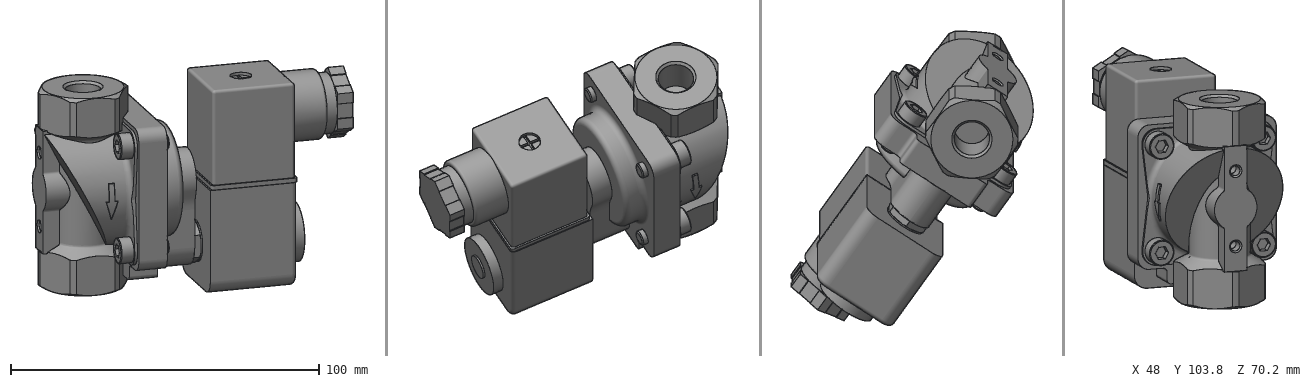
import cadquery as cq
import math


PORT_FLATS = 27.0
PORT_CORNER_DIAMETER = 30.0
PORT_FACE_DIAMETER = 26.6
PORT_END_Z = 33.5
PORT_INNER_Z = 21.0
PORT_CHAMFER_SLOPE = math.tan(math.radians(30))
PORT_BORE = 11.45
PORT_BORE_DEPTH = 12.0
PORT_BORE_CHAMFER = 0.8

CHAMBER_DIAMETER = 40.0
CHAMBER_FILLET = 1.9
TUBE_DIAMETER = 20.0
TUBE_FILLET = 1.0
SLANT_HIGH = (-14.7, 20.2)
SLANT_LOW = (5.3, -18.7)
BAR_FRONT_Y = -14.9
BAR_WIDTH = 7.8
BAR_LENGTH = 41.6
BAR_HUB_DIAMETER = 14.7
BAR_HUB_FILLET = 1.0
BAR_HOLE_SPACING = 25.0
BAR_HOLE_DIAMETER = 3.24
BAR_HOLE_DEPTH = 4.0
BAR_HOLE_CHAMFER = 0.5
DRILL_POINT_ANGLE = 118.0

ARROW_Y = 3.4
ARROW_TAIL_Z = 5.9
ARROW_NECK_Z = 0.0
ARROW_TIP_Z = -6.3
ARROW_SHAFT_WIDTH = 1.9
ARROW_HEAD_WIDTH = 4.0
ARROW_RELIEF = 0.5

PAD_FRONT_Y = 10.35
FLANGE_FRONT_Y = 11.3
FLANGE_BACK_Y = 21.0
FLANGE_SIDE = 48.0
FLANGE_CORNER_RADIUS = 4.0
TAB_WIDTH = 27.8
TAB_BOTTOM_Z = -29.4
TAB_FILLET = 1.4
PAD_CORNER_RADIUS = 5.0
PAD_WAIST = 20.6
BOLT_CIRCLE_RADIUS = 25.0
SCREW_HEAD_DIAMETER = 8.5
SCREW_HEAD_HEIGHT = 4.4
SCREW_HEAD_CHAMFER = 0.3
SCREW_SOCKET_FLATS = 4.0
SCREW_SOCKET_DEPTH = 2.5
SCREW_TAIL_DIAMETER = 5.0
SCREW_TAIL_LENGTH = 2.05
SCREW_TAIL_CHAMFER = 0.4

BONNET_BACK_Y = 28.55
BONNET_DIAMETER = 38.0
BONNET_FILLET = 2.0
PILOT_BACK_Y = 35.7
PILOT_HEAD_RADIUS = 9.4
PILOT_FOOT_RADIUS = 7.5
PILOT_BLEND_RADIUS = 15.0
COIL_AXIS_Z = -22.3
TUBE_NUT_FLATS = 13.0
TUBE_NUT_BACK_Y = 38.1
TUBE_COLLAR_DIAMETER = 13.8

COIL_FRONT_Y = 38.6
COIL_BACK_Y = 68.1
COIL_WIDTH = 29.8
COIL_TOP_Z = -1.15
COIL_BOTTOM_Z = -36.7
COIL_CORNER_RADIUS = 4.5
COIL_BACK_FILLET = 1.5
KNOB_NECK_DIAMETER = 12.2
KNOB_NECK_LENGTH = 0.85
KNOB_DIAMETER = 20.0
KNOB_LENGTH = 3.5
STUD_DIAMETER = 8.0
STUD_LENGTH = 0.65

GASKET_TOP_Z = 0.3
GASKET_WIDTH = 29.2
PLUG_CENTER_Y = 53.85
PLUG_SIDE = 28.0
PLUG_TOP_Z = 32.2
PLUG_EDGE_RADIUS = 1.0
GLAND_AXIS_Z = 20.15
GLAND_DIAMETER = 23.1
GLAND_BACK_Y = 79.8
GLAND_EDGE = 0.9
GLAND_NECK_DIAMETER = 20.0
CAP_FRONT_Y = 83.5
CAP_BACK_Y = 88.8
CAP_LUG_RADIUS = 12.0
CAP_RECESS_RADIUS = 10.35
CAP_RECESS_ANGLE = 16.3
CAP_LUGS = 6
PLUG_SCREW_DIAMETER = 7.0
PLUG_SCREW_RECESS = 1.0
PLUG_SCREW_SLOT_WIDTH = 0.9
PLUG_SCREW_SLOT_DEPTH = 1.0


def plane_at_y(y, x=0, z=0):
    """Plane across the Y axis whose local axes are +X and +Z; its normal is -Y."""
    return cq.Workplane("XZ", origin=(x, y, z))


def disc(diameter, y_start, y_end, x=0, z=0):
    """Cylinder along Y."""
    return plane_at_y(y_start, x, z).circle(diameter / 2).extrude(y_start - y_end)


def hexagon_prism(flats, y_start, y_end, x=0, z=0, turn=0):
    """Hexagonal prism along Y, with corners on local X unless turned."""
    corner_diameter = flats / math.cos(math.radians(30))
    return (
        plane_at_y(y_start, x, z)
        .transformed(rotate=(0, 0, turn))
        .polygon(6, corner_diameter)
        .extrude(y_start - y_end)
    )


def screw_places():
    offset = BOLT_CIRCLE_RADIUS / math.sqrt(2)
    return [(sx * offset, sz * offset) for sx in (-1, 1) for sz in (-1, 1)]


def upper_pipe_end():
    """Hexagon turned at its corners, chamfered outside and coned down to the pipe tube inside."""
    corner_radius = PORT_CORNER_DIAMETER / 2
    face_radius = PORT_FACE_DIAMETER / 2
    tube_radius = TUBE_DIAMETER / 2
    chamfer_height = (corner_radius - face_radius) * PORT_CHAMFER_SLOPE
    cone_height = (corner_radius - tube_radius) * PORT_CHAMFER_SLOPE
    turned = (
        cq.Workplane("XZ")
        .moveTo(0, PORT_INNER_Z - cone_height)
        .lineTo(tube_radius, PORT_INNER_Z - cone_height)
        .lineTo(corner_radius, PORT_INNER_Z)
        .lineTo(corner_radius, PORT_END_Z - chamfer_height)
        .lineTo(face_radius, PORT_END_Z)
        .lineTo(0, PORT_END_Z)
        .close()
        .revolve(360, (0, 0, 0), (0, 1, 0))
    )
    hexagon = (
        cq.Workplane("XY")
        .transformed(rotate=(0, 0, 30))
        .polygon(6, PORT_FLATS / math.cos(math.radians(30)))
        .extrude(PORT_END_Z)
    )
    return turned.intersect(hexagon)


def upper_port_bore():
    bore_floor = PORT_END_Z - PORT_BORE_DEPTH
    return (
        cq.Workplane("XY", origin=(0, 0, bore_floor))
        .circle(PORT_BORE / 2)
        .extrude(PORT_BORE_DEPTH)
        .faces(">Z")
        .workplane()
        .circle(PORT_BORE / 2 + PORT_BORE_CHAMFER)
        .workplane(offset=-PORT_BORE_CHAMFER)
        .circle(PORT_BORE / 2)
        .loft(combine=True)
    )


def pipe_tube():
    """Tube between the pipe ends, with a fillet against each inner cone."""
    tube_radius = TUBE_DIAMETER / 2
    cone_start_z = PORT_INNER_Z - (PORT_CORNER_DIAMETER / 2 - tube_radius) * PORT_CHAMFER_SLOPE
    reach = TUBE_FILLET * math.tan(math.radians(30))
    cone_run = reach * math.cos(math.radians(30))
    cone_rise = reach * math.sin(math.radians(30))
    tube = cq.Workplane("XY").circle(tube_radius).extrude(cone_start_z, both=True)
    fillet_ring = (
        cq.Workplane("XZ")
        .moveTo(tube_radius - TUBE_FILLET, cone_start_z - reach)
        .lineTo(tube_radius, cone_start_z - reach)
        .radiusArc((tube_radius + cone_run, cone_start_z + cone_rise), TUBE_FILLET)
        .lineTo(tube_radius - TUBE_FILLET, cone_start_z + cone_rise)
        .close()
        .revolve(360, (0, 0, 0), (0, 1, 0))
    )
    return tube.union(fillet_ring).union(fillet_ring.mirror("XY"))


def flow_arrow(side):
    """Raised arrow on the -X (side = -1) or +X (side = 1) flank of the chamber."""
    shaft = ARROW_SHAFT_WIDTH / 2
    head = ARROW_HEAD_WIDTH / 2
    outline = [
        (ARROW_Y - shaft, ARROW_TAIL_Z),
        (ARROW_Y + shaft, ARROW_TAIL_Z),
        (ARROW_Y + shaft, ARROW_NECK_Z),
        (ARROW_Y + head, ARROW_NECK_Z),
        (ARROW_Y, ARROW_TIP_Z),
        (ARROW_Y - head, ARROW_NECK_Z),
        (ARROW_Y - shaft, ARROW_NECK_Z),
    ]
    reach = CHAMBER_DIAMETER / 2 + ARROW_RELIEF
    arrow = cq.Workplane("YZ").polyline(outline).close().extrude(side * reach)
    return arrow.intersect(disc(2 * reach, BAR_FRONT_Y, FLANGE_FRONT_Y))


def chamber():
    """Round chamber with raised flow arrows, cut off by a slanting plane."""
    radius = CHAMBER_DIAMETER / 2
    body = disc(CHAMBER_DIAMETER, BAR_FRONT_Y, FLANGE_FRONT_Y)
    (high_y, high_z) = SLANT_HIGH
    (low_y, low_z) = SLANT_LOW
    slope = (low_y - high_y) / (low_z - high_z)
    far = 2 * radius
    above_y = high_y + slope * (far - high_z)
    below_y = high_y + slope * (-far - high_z)
    outer_y = above_y - far
    waste = (
        cq.Workplane("YZ")
        .polyline([(above_y, far), (below_y, -far), (outer_y, -far), (outer_y, far)])
        .close()
        .extrude(far, both=True)
    )
    body = body.cut(waste)
    for side in (-1, 1):
        body = body.union(flow_arrow(side))
    return body


def pad_plate():
    """Thin plate under the screw heads, waisted at its sides, with the fillet of the chamber foot."""
    offset = BOLT_CIRCLE_RADIUS / math.sqrt(2)
    reach = offset + PAD_CORNER_RADIUS
    waist_to_screw = math.hypot(PAD_WAIST - offset, offset)
    side_angle = math.asin(PAD_CORNER_RADIUS / waist_to_screw) - math.atan((PAD_WAIST - offset) / offset)
    corner_x = PAD_WAIST + reach * math.tan(side_angle)
    outline = [
        (corner_x, reach),
        (PAD_WAIST, 0),
        (corner_x, -reach),
        (-corner_x, -reach),
        (-PAD_WAIST, 0),
        (-corner_x, reach),
    ]
    thickness = FLANGE_FRONT_Y - PAD_FRONT_Y
    footprint = (
        plane_at_y(FLANGE_FRONT_Y)
        .polyline(outline)
        .close()
        .extrude(thickness + CHAMBER_FILLET)
        .edges("|Y")
        .edges("<X or >X")
        .fillet(PAD_CORNER_RADIUS)
    )
    radius = CHAMBER_DIAMETER / 2
    plate_and_foot = (
        cq.Workplane("XY")
        .moveTo(0, FLANGE_FRONT_Y)
        .lineTo(2 * radius, FLANGE_FRONT_Y)
        .lineTo(2 * radius, PAD_FRONT_Y)
        .lineTo(radius + CHAMBER_FILLET, PAD_FRONT_Y)
        .radiusArc((radius, PAD_FRONT_Y - CHAMBER_FILLET), -CHAMBER_FILLET)
        .lineTo(0, PAD_FRONT_Y - CHAMBER_FILLET)
        .close()
        .revolve(360, (0, 0, 0), (0, 1, 0))
    )
    return footprint.intersect(plate_and_foot)


def mounting_bar():
    """Bar across the front with a round hub; both reach back into the pipe tube."""
    bar = plane_at_y(0).rect(BAR_WIDTH, BAR_LENGTH).extrude(-BAR_FRONT_Y)
    hub = disc(BAR_HUB_DIAMETER, 0, BAR_FRONT_Y)
    inner_corners = cq.selectors.BoxSelector(
        (-BAR_WIDTH, BAR_FRONT_Y, -BAR_HUB_DIAMETER / 2),
        (BAR_WIDTH, 0, BAR_HUB_DIAMETER / 2),
    )
    return bar.union(hub).edges("|Y").edges(inner_corners).fillet(BAR_HUB_FILLET)


def bar_hole(z):
    """Drilled and countersunk blind hole in the mounting bar."""
    radius = BAR_HOLE_DIAMETER / 2
    mouth = radius + BAR_HOLE_CHAMFER
    floor_y = BAR_FRONT_Y + BAR_HOLE_DEPTH
    point_y = floor_y + radius / math.tan(math.radians(DRILL_POINT_ANGLE / 2))
    return (
        cq.Workplane("XY", origin=(0, 0, z))
        .moveTo(0, BAR_FRONT_Y)
        .lineTo(mouth, BAR_FRONT_Y)
        .lineTo(radius, BAR_FRONT_Y + BAR_HOLE_CHAMFER)
        .lineTo(radius, floor_y)
        .lineTo(0, point_y)
        .close()
        .revolve(360, (0, 0, 0), (0, 1, 0))
    )


def flange():
    """Square flange with a tab below that carries the pilot block."""
    depth = FLANGE_BACK_Y - FLANGE_FRONT_Y
    square = (
        plane_at_y(FLANGE_BACK_Y)
        .rect(FLANGE_SIDE, FLANGE_SIDE)
        .extrude(depth)
        .edges("|Y")
        .fillet(FLANGE_CORNER_RADIUS)
    )
    tab_height = -TAB_BOTTOM_Z
    tab = plane_at_y(FLANGE_BACK_Y, z=-tab_height / 2).rect(TAB_WIDTH, tab_height).extrude(depth)
    tab = tab.edges("|Y and <Z").fillet(TAB_FILLET)
    inner_corners = cq.selectors.BoxSelector(
        (-TAB_WIDTH, FLANGE_FRONT_Y, -FLANGE_SIDE / 2 - TAB_FILLET / 2),
        (TAB_WIDTH, FLANGE_BACK_Y, -FLANGE_SIDE / 2 + TAB_FILLET / 2),
    )
    return square.union(tab).edges("|Y").edges(inner_corners).fillet(TAB_FILLET)


def screw(x, z):
    """Socket head screw whose tail stands out behind the flange."""
    head_front_y = PAD_FRONT_Y - SCREW_HEAD_HEIGHT
    tail_back_y = FLANGE_BACK_Y + SCREW_TAIL_LENGTH
    head = disc(SCREW_HEAD_DIAMETER, FLANGE_FRONT_Y, head_front_y, x, z)
    head = head.faces("<Y").chamfer(SCREW_HEAD_CHAMFER)
    socket_floor_y = head_front_y + SCREW_SOCKET_DEPTH
    head = head.cut(hexagon_prism(SCREW_SOCKET_FLATS, socket_floor_y, head_front_y, x, z))
    tail = disc(SCREW_TAIL_DIAMETER, FLANGE_FRONT_Y, tail_back_y, x, z)
    tail = tail.faces(">Y").chamfer(SCREW_TAIL_CHAMFER)
    return head.union(tail)


def bonnet():
    """Round cover with a rounded rim and a concave fillet onto the flange."""
    radius = BONNET_DIAMETER / 2
    fillet = BONNET_FILLET
    return (
        cq.Workplane("XY")
        .moveTo(0, FLANGE_BACK_Y)
        .lineTo(radius + fillet, FLANGE_BACK_Y)
        .radiusArc((radius, FLANGE_BACK_Y + fillet), fillet)
        .lineTo(radius, BONNET_BACK_Y - fillet)
        .radiusArc((radius - fillet, BONNET_BACK_Y), -fillet)
        .lineTo(0, BONNET_BACK_Y)
        .close()
        .revolve(360, (0, 0, 0), (0, 1, 0))
    )


def pilot_block():
    """Keyhole block: round head blended into a narrower foot with a rounded end."""
    blend_x = PILOT_FOOT_RADIUS + PILOT_BLEND_RADIUS
    blend_z = -math.sqrt((PILOT_HEAD_RADIUS + PILOT_BLEND_RADIUS) ** 2 - blend_x**2)
    share = PILOT_HEAD_RADIUS / (PILOT_HEAD_RADIUS + PILOT_BLEND_RADIUS)
    tangent_x = blend_x * share
    tangent_z = blend_z * share
    return (
        plane_at_y(PILOT_BACK_Y)
        .moveTo(tangent_x, tangent_z)
        .threePointArc((0, PILOT_HEAD_RADIUS), (-tangent_x, tangent_z))
        .radiusArc((-PILOT_FOOT_RADIUS, blend_z), PILOT_BLEND_RADIUS)
        .lineTo(-PILOT_FOOT_RADIUS, COIL_AXIS_Z)
        .threePointArc((0, COIL_AXIS_Z - PILOT_FOOT_RADIUS), (PILOT_FOOT_RADIUS, COIL_AXIS_Z))
        .lineTo(PILOT_FOOT_RADIUS, blend_z)
        .radiusArc((tangent_x, tangent_z), PILOT_BLEND_RADIUS)
        .close()
        .extrude(PILOT_BACK_Y - FLANGE_BACK_Y)
    )


def armature_tube_nut():
    """Hexagon nut with turned corners at its coil end, and a thin collar against the coil."""
    blank_diameter = TUBE_NUT_FLATS / math.cos(math.radians(30))
    chamfer_width = (blank_diameter - TUBE_COLLAR_DIAMETER) / 2
    chamfer_depth = chamfer_width * math.tan(math.radians(30))
    hexagon = hexagon_prism(TUBE_NUT_FLATS, PILOT_BACK_Y, TUBE_NUT_BACK_Y, z=COIL_AXIS_Z, turn=30)
    turned_blank = (
        cq.Workplane("XY")
        .moveTo(0, PILOT_BACK_Y)
        .lineTo(blank_diameter / 2, PILOT_BACK_Y)
        .lineTo(blank_diameter / 2, TUBE_NUT_BACK_Y - chamfer_depth)
        .lineTo(TUBE_COLLAR_DIAMETER / 2, TUBE_NUT_BACK_Y)
        .lineTo(0, TUBE_NUT_BACK_Y)
        .close()
        .revolve(360, (0, 0, 0), (0, 1, 0))
        .translate((0, 0, COIL_AXIS_Z))
    )
    collar = disc(TUBE_COLLAR_DIAMETER, TUBE_NUT_BACK_Y, COIL_FRONT_Y, z=COIL_AXIS_Z)
    return hexagon.intersect(turned_blank).union(collar)


def valve_body():
    pipe_end = upper_pipe_end()
    body = chamber().union(pipe_tube()).union(pad_plate()).union(flange())
    body = body.union(mounting_bar()).union(pipe_end).union(pipe_end.mirror("XY"))
    body = body.union(bonnet()).union(pilot_block())
    body = body.union(armature_tube_nut())
    for x, z in screw_places():
        body = body.union(screw(x, z))
    bore = upper_port_bore()
    body = body.cut(bore).cut(bore.mirror("XY"))
    for z in (-BAR_HOLE_SPACING / 2, BAR_HOLE_SPACING / 2):
        body = body.cut(bar_hole(z))
    return body


def coil_body():
    """Coil housing with its round retaining nut and the end of the armature tube."""
    height = COIL_TOP_Z - COIL_BOTTOM_Z
    middle_z = (COIL_TOP_Z + COIL_BOTTOM_Z) / 2
    housing = (
        plane_at_y(COIL_BACK_Y, z=middle_z)
        .rect(COIL_WIDTH, height)
        .extrude(COIL_BACK_Y - COIL_FRONT_Y)
        .edges("|Y and <Z")
        .fillet(COIL_CORNER_RADIUS)
    )
    housing = housing.faces(">Y").edges("not >Z").fillet(COIL_BACK_FILLET)
    knob_front_y = COIL_BACK_Y + KNOB_NECK_LENGTH
    knob_back_y = knob_front_y + KNOB_LENGTH
    neck = disc(KNOB_NECK_DIAMETER, COIL_BACK_Y, knob_front_y, z=COIL_AXIS_Z)
    knob = disc(KNOB_DIAMETER, knob_front_y, knob_back_y, z=COIL_AXIS_Z)
    stud = disc(STUD_DIAMETER, knob_back_y, knob_back_y + STUD_LENGTH, z=COIL_AXIS_Z)
    return housing.union(neck).union(knob).union(stud)


def cap_nut():
    """Six-lugged nut that closes the cable gland: a hexagon with a shallow recess along each side."""
    side_distance = CAP_LUG_RADIUS * math.cos(math.pi / CAP_LUGS)
    lug_edge_radius = side_distance / math.cos(math.pi / CAP_LUGS - math.radians(CAP_RECESS_ANGLE))
    outline = []
    for lug in range(CAP_LUGS):
        lug_angle = 90 + lug * 360 / CAP_LUGS
        for turn, radius in (
            (-CAP_RECESS_ANGLE, CAP_RECESS_RADIUS),
            (-CAP_RECESS_ANGLE, lug_edge_radius),
            (0, CAP_LUG_RADIUS),
            (CAP_RECESS_ANGLE, lug_edge_radius),
            (CAP_RECESS_ANGLE, CAP_RECESS_RADIUS),
        ):
            angle = math.radians(lug_angle + turn)
            outline.append((radius * math.cos(angle), radius * math.sin(angle)))
    nut = plane_at_y(CAP_BACK_Y, z=GLAND_AXIS_Z).polyline(outline).close()
    return nut.extrude(CAP_BACK_Y - CAP_FRONT_Y)


def plug_screw_cut():
    """Recess over the head of the fixing screw and the cross slot in that head."""
    recess_floor_z = PLUG_TOP_Z - PLUG_SCREW_RECESS
    recess = (
        cq.Workplane("XY", origin=(0, PLUG_CENTER_Y, recess_floor_z))
        .circle(PLUG_SCREW_DIAMETER / 2)
        .extrude(PLUG_SCREW_RECESS)
    )
    slot_floor = cq.Workplane("XY", origin=(0, PLUG_CENTER_Y, recess_floor_z - PLUG_SCREW_SLOT_DEPTH))
    along_x = slot_floor.rect(PLUG_SCREW_DIAMETER, PLUG_SCREW_SLOT_WIDTH).extrude(PLUG_SCREW_SLOT_DEPTH)
    along_y = slot_floor.rect(PLUG_SCREW_SLOT_WIDTH, PLUG_SCREW_DIAMETER).extrude(PLUG_SCREW_SLOT_DEPTH)
    return recess.union(along_x).union(along_y)


def connector_plug():
    """Square plug on a gasket, with a cable gland pointing along +Y."""
    gasket = (
        cq.Workplane("XY", origin=(0, PLUG_CENTER_Y, COIL_TOP_Z))
        .rect(GASKET_WIDTH, GASKET_WIDTH)
        .extrude(GASKET_TOP_Z - COIL_TOP_Z)
        .edges("|Z")
        .fillet(PLUG_EDGE_RADIUS)
    )
    block = (
        cq.Workplane("XY", origin=(0, PLUG_CENTER_Y, GASKET_TOP_Z))
        .rect(PLUG_SIDE, PLUG_SIDE)
        .extrude(PLUG_TOP_Z - GASKET_TOP_Z)
        .edges("|Z or >Z")
        .fillet(PLUG_EDGE_RADIUS)
    )
    gland = disc(GLAND_DIAMETER, PLUG_CENTER_Y, GLAND_BACK_Y, z=GLAND_AXIS_Z)
    gland = gland.faces(">Y").edges().fillet(GLAND_EDGE)
    neck = disc(GLAND_NECK_DIAMETER, PLUG_CENTER_Y, CAP_FRONT_Y, z=GLAND_AXIS_Z)
    plug = block.union(gasket).union(gland).union(neck).union(cap_nut())
    return plug.cut(plug_screw_cut())


valve = valve_body()
coil = coil_body()
plug = connector_plug()

result = cq.Compound.makeCompound([valve.val(), coil.val(), plug.val()])